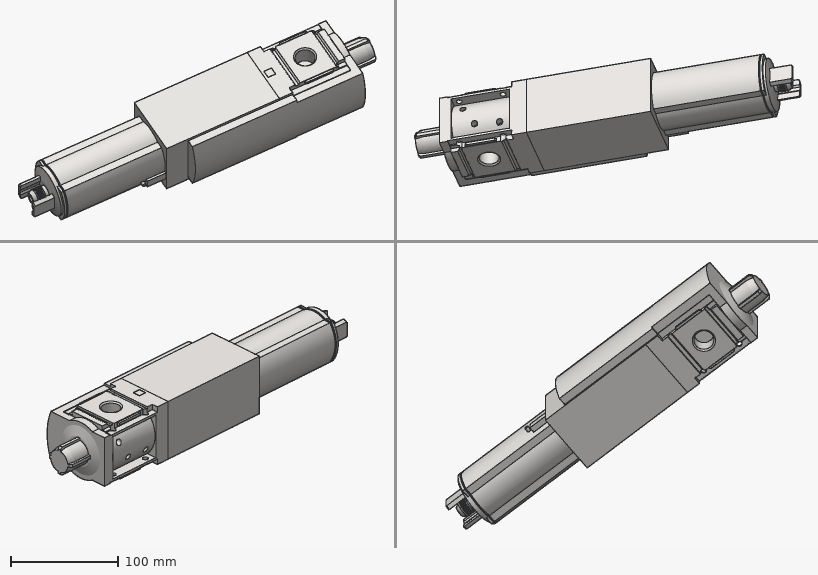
import cadquery as cq


body_width = 62.0
half_width = body_width / 2

shoulder_y = 14.3
port_block_end_y = 76.0
head_end_y = 84.0
frame_half_height = 26.0
arm_half_height = 25.2
core_diameter = 60.0

block_half_x = 24.0
groove_depth = 2.2
groove_slope = 1.5
groove_ends = ((21.0, 26.0), (65.0, 69.5))
corner_step_x = 19.8
corner_step_y = 67.3
corner_step_depth = 4.5
lip_size = 2.2
lip_chamfer = 1.5
lip_drop = 0.7
lip_thickness = 2.5
lip_start_y = 30.7
lip_end_y = 61.0
port_y = 44.5
port_diameter = 18.5
port_chamfer = 1.5
port_depth = 18.3
badge_size = 8.0
badge_y = 7.0
badge_depth = 0.5

window_start_y = 16.5
window_end_y = 72.8
window_half_height = 22.5
window_depth = 18.3
window_hole_diameter = 6.0
window_hole_depth = 9.0
window_hole_places = ((62.2, 11.0), (51.0, -8.8), (26.7, -11.0))
arm_hole_diameter = 5.5
arm_hole_x = -25.0
arm_hole_places_y = (24.0, 66.5)

cover_start_y = -97.3
cover_half_height = 28.0
cover_edge_x = 38.8
outer_width = 75.7
cover_crown_x = outer_width - half_width

collar_end_y = 87.0
collar_base_diameter = 50.5
knob_diameter = 30.5
collar_top_diameter = knob_diameter
knob_end_y = 113.0
knob_chamfer = 2.2
knob_taper_y = 105.7
knob_core_diameter = 25.5
knob_tip_diameter = 22.5
knob_rib_width = 3.3
knob_rib_count = 4

housing_end_y = -120.5
bowl_diameter = 50.5
bowl_half_x = 28.0
bowl_corner_x = 21.2
bowl_flat_z = 21.2
bowl_end_y = -227.5
rim_end_y = -229.7
dome_height = 2.2
dome_top_diameter = 22.0
bowl_groove_y = -225.0
bowl_groove_width = 1.0
bowl_groove_depth = 0.7

drain_diameter = 15.7
drain_neck_diameter = 14.3
drain_tip_diameter = 11.0
drain_bore_diameter = 6.0
drain_neck_end_y = -235.5
drain_shoulder_y = -244.0
drain_end_y = -248.0
drain_bore_depth = 7.3
drain_groove_count = 3
drain_groove_width = 1.0

guard_end_y = -252.8
guard_outer_x = 15.0
guard_inner_x = 11.0
guard_outer_half_z = 8.0
guard_inner_half_z = 10.0
guard_chamfer = 1.0
guard_groove_depth = 1.5
guard_groove_half_width = 3.5
guard_groove_half_floor = 2.0

latch_end_y = -140.0
latch_inner_x = 22.0
latch_outer_x = 29.5
latch_bottom_z = -17.0
latch_top_z = -8.0
latch_button_diameter = 3.5
latch_button_y = -143.8
latch_button_x = 30.5
latch_button_z = -11.0


def box(x0, x1, y0, y1, z0, z1):
    """Box between two limits on each axis."""
    return cq.Workplane("XY").box(x1 - x0, y1 - y0, z1 - z0, centered=False).translate((x0, y0, z0))


def level_box(half_x, y0, y1, half_z):
    """Box centred on the Y axis."""
    return box(-half_x, half_x, y0, y1, -half_z, half_z)


def section(start_y):
    """Workplane across the Y axis; extrusions run toward +Y and its local y is -Z."""
    return cq.Workplane("ZX", origin=(0, start_y, 0)).transformed(rotate=(0, 0, 90))


def rod(diameter, y0, y1):
    """Cylinder on the Y axis."""
    solid = cq.Solid.makeCylinder(diameter / 2, y1 - y0, cq.Vector(0, y0, 0), cq.Vector(0, 1, 0))
    return cq.Workplane(obj=solid)


def turned(points):
    """Solid turned about the Y axis from (radius, y) points."""
    return cq.Workplane("XY").polyline(points).close().revolve(360, (0, 0, 0), (0, 1, 0))


def both_faces(solid):
    """The solid together with its mirror image in the XY plane."""
    return solid.union(solid.mirror("XY"))


def side_cover():
    """Domed cover along the +X side, lower in height beside the port block."""
    length = head_end_y - cover_start_y
    cover = (
        section(cover_start_y)
        .moveTo(half_width, cover_half_height)
        .lineTo(cover_edge_x, cover_half_height)
        .threePointArc((cover_crown_x, 0), (cover_edge_x, -cover_half_height))
        .lineTo(half_width, -cover_half_height)
        .close()
        .extrude(length)
    )
    for side in (1, -1):
        z0, z1 = sorted((side * frame_half_height, side * half_width))
        cover = cover.cut(box(half_width, cover_crown_x, shoulder_y, head_end_y, z0, z1))
    return cover


def groove_cutter(start_y, end_y):
    """Groove across the top of the port block with one sloping wall."""
    floor_z = half_width - groove_depth
    return (
        cq.Workplane("YZ", origin=(-block_half_x, 0, 0))
        .moveTo(start_y, half_width)
        .lineTo(start_y, floor_z)
        .lineTo(end_y - groove_slope, floor_z)
        .lineTo(end_y, half_width)
        .close()
        .extrude(2 * block_half_x)
    )


def port_block():
    """Raised block with grooves, stepped corners and a thin lip along each side."""
    block = level_box(block_half_x, shoulder_y, port_block_end_y, half_width)
    step_z = half_width - corner_step_depth
    cutters = [groove_cutter(*ends) for ends in groove_ends]
    for x0, x1 in ((-block_half_x, -corner_step_x), (corner_step_x, block_half_x)):
        cutters.append(box(x0, x1, corner_step_y, port_block_end_y, step_z, half_width))
    for cutter in cutters:
        block = block.cut(both_faces(cutter))
    lip_half_x = block_half_x + lip_size
    lip_top_z = half_width - lip_drop
    lip = box(-lip_half_x, lip_half_x, lip_start_y, lip_end_y, lip_top_z - lip_thickness, lip_top_z)
    return block.union(both_faces(lip.edges("|Z").chamfer(lip_chamfer)))


def ports():
    """Blind round port with a chamfered mouth on the top and bottom faces."""
    port = cq.Workplane("XY", origin=(0, port_y, half_width - port_depth)).circle(port_diameter / 2)
    port = port.extrude(port_depth)
    mouth = cq.Solid.makeCone(
        port_diameter / 2,
        port_diameter / 2 + port_chamfer,
        port_chamfer,
        cq.Vector(0, port_y, half_width - port_chamfer),
    )
    return both_faces(port.union(cq.Workplane(obj=mouth)))


def side_window():
    """Window in the -X face, opened down to the round core."""
    opening = box(
        -half_width, window_depth - half_width, window_start_y, window_end_y,
        -window_half_height, window_half_height,
    )
    return opening.cut(rod(core_diameter, window_start_y, window_end_y))


def window_holes():
    """Blind holes along X in the round core, and holes through the window's top and bottom walls."""
    holes = cq.Workplane("YZ", origin=(-half_width, 0, 0)).pushPoints(window_hole_places)
    holes = holes.circle(window_hole_diameter / 2).extrude(window_hole_depth)
    wall_holes = (
        cq.Workplane("XY", origin=(0, 0, window_half_height))
        .pushPoints([(arm_hole_x, y) for y in arm_hole_places_y])
        .circle(arm_hole_diameter / 2)
        .extrude(half_width - window_half_height)
    )
    return holes.union(both_faces(wall_holes))


def knob():
    """Tapered knob with full-length ribs on a conical collar."""
    collar = turned([
        (0, head_end_y),
        (collar_base_diameter / 2, head_end_y),
        (collar_top_diameter / 2, collar_end_y),
        (0, collar_end_y),
    ])
    core = turned([
        (0, collar_end_y),
        (knob_core_diameter / 2, collar_end_y),
        (knob_core_diameter / 2, knob_taper_y),
        (knob_tip_diameter / 2, knob_end_y),
        (0, knob_end_y),
    ])
    envelope = rod(knob_diameter, collar_end_y, knob_end_y).faces(">Y").edges().chamfer(knob_chamfer)
    solid = collar.union(core)
    for index in range(knob_rib_count):
        rib = box(0, knob_diameter, collar_end_y, knob_end_y, -knob_rib_width / 2, knob_rib_width / 2)
        rib = rib.rotate((0, 0, 0), (0, 1, 0), index * 360 / knob_rib_count)
        solid = solid.union(rib.intersect(envelope))
    return solid


def make_head():
    head = level_box(half_width, 0, shoulder_y, half_width)
    head = head.union(level_box(half_width, shoulder_y, port_block_end_y, arm_half_height))
    head = head.union(level_box(half_width, port_block_end_y, head_end_y, frame_half_height))
    head = head.union(rod(core_diameter, port_block_end_y, head_end_y))
    head = head.union(port_block()).union(side_cover())
    badge = box(
        -badge_size / 2, badge_size / 2, badge_y - badge_size / 2, badge_y + badge_size / 2,
        half_width - badge_depth, half_width,
    )
    head = head.cut(ports()).cut(side_window()).cut(window_holes()).cut(badge)
    return head.union(knob())


def bowl_outline(y0, y1, inset=0):
    """Round bowl with two wider curved sides that end in flats."""
    half_x, corner_x, flat_z = bowl_half_x - inset, bowl_corner_x - inset, bowl_flat_z - inset
    sides = (
        section(y0)
        .moveTo(-corner_x, flat_z)
        .lineTo(corner_x, flat_z)
        .threePointArc((half_x, 0), (corner_x, -flat_z))
        .lineTo(-corner_x, -flat_z)
        .threePointArc((-half_x, 0), (-corner_x, flat_z))
        .close()
        .extrude(y1 - y0)
    )
    return sides.union(rod(bowl_diameter - 2 * inset, y0, y1))


def bowl():
    """Bowl with a shallow groove near its end, a round rim and a domed bottom."""
    groove_end_y = bowl_groove_y + bowl_groove_width
    solid = bowl_outline(groove_end_y, housing_end_y)
    solid = solid.union(bowl_outline(bowl_groove_y, groove_end_y, bowl_groove_depth))
    solid = solid.union(bowl_outline(bowl_end_y, bowl_groove_y))
    dome = turned([
        (0, bowl_end_y),
        (bowl_diameter / 2, bowl_end_y),
        (bowl_diameter / 2, rim_end_y),
        (dome_top_diameter / 2, rim_end_y - dome_height),
        (0, rim_end_y - dome_height),
    ])
    return solid.union(dome)


def drain():
    """Grooved drain spigot with a tapered, bored tip."""
    spigot = rod(drain_neck_diameter, drain_neck_end_y, rim_end_y)
    spigot = spigot.union(turned([
        (0, drain_neck_end_y),
        (drain_diameter / 2, drain_neck_end_y),
        (drain_diameter / 2, drain_shoulder_y),
        (drain_tip_diameter / 2, drain_end_y),
        (0, drain_end_y),
    ]))
    pitch = (drain_neck_end_y - drain_shoulder_y) / (drain_groove_count + 1)
    for index in range(drain_groove_count):
        middle_y = drain_neck_end_y - (index + 1) * pitch
        y0, y1 = middle_y - drain_groove_width / 2, middle_y + drain_groove_width / 2
        ring = rod(drain_diameter, y0, y1).cut(rod(drain_neck_diameter, y0, y1))
        spigot = spigot.cut(ring)
    return spigot.cut(rod(drain_bore_diameter, drain_end_y, drain_end_y + drain_bore_depth))


def guard():
    """Guard plate on the -X side of the drain, wider on its inner face and grooved there."""
    plate = section(guard_end_y).polyline([
        (-guard_outer_x, guard_outer_half_z),
        (-guard_inner_x, guard_inner_half_z),
        (-guard_inner_x, guard_groove_half_width),
        (-guard_inner_x - guard_groove_depth, guard_groove_half_floor),
        (-guard_inner_x - guard_groove_depth, -guard_groove_half_floor),
        (-guard_inner_x, -guard_groove_half_width),
        (-guard_inner_x, -guard_inner_half_z),
        (-guard_outer_x, -guard_outer_half_z),
    ])
    plate = plate.close().extrude(rim_end_y - guard_end_y)
    return plate.faces("<Y").edges(">Z or <Z").chamfer(guard_chamfer)


def latch():
    """Latch bar on the bowl's +X side with a round button below it."""
    bar = box(latch_inner_x, latch_outer_x, latch_end_y, housing_end_y, latch_bottom_z, latch_top_z)
    button = (
        cq.Workplane("YZ", origin=(latch_inner_x, latch_button_y, latch_button_z))
        .circle(latch_button_diameter / 2)
        .extrude(latch_button_x - latch_inner_x)
    )
    return bar.union(button)


def make_lower_unit():
    unit = level_box(half_width, housing_end_y, 0, half_width)
    unit = unit.union(bowl()).union(drain()).union(latch())
    for plate in (guard(), guard().mirror("YZ")):
        unit = unit.union(plate)
    return unit


head = make_head()
lower_unit = make_lower_unit()

result = cq.Compound.makeCompound([head.solids().val(), lower_unit.solids().val()])